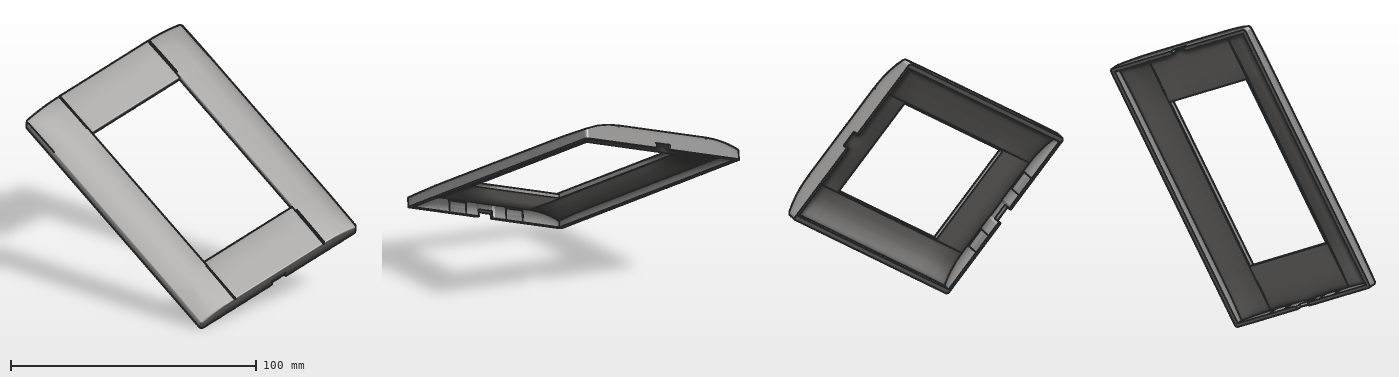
import cadquery as cq
import math

TURN_ABOUT_Y = 33.33
TURN_ABOUT_X = 20.0

LENGTH = 118.65
WIDTH = 79.87
PANEL_HEIGHT = 7.4
CORNER_RADIUS = 1.3
EDGE_RADIUS = 0.6
PANEL_EDGE_RADIUS = 0.5

RAIL_START = 22.6
RAIL_RISE = 0.55
ARCH_START = RAIL_START + RAIL_RISE
RAIL_DROP = 3.5
STRAIGHT_HALF = 40.3
CROWN_RADIUS = 290.0

SKIN = 1.85
SIDE_WALL = 2.0
END_WALL = 1.5

WINDOW_LENGTH = 75.5
WINDOW_EDGE_RADIUS = 0.4

NOTCH_WIDTH = 7.0
NOTCH_DEPTH = 2.0
NOTCH_CHAMFER = 1.0
RECESS_SLOPE = 1.2
RECESS_DEPTH = 0.3

RIDGE_OFFSET = 14.7
RIDGE_WIDTH = 8.6
RIDGE_BASE = 0.5
RIDGE_PEAK = 2.4
RIDGE_HEIGHT = 0.35
RIDGE_TOP_BEVEL = 0.8

DEPTH_BELOW = 5.0
BEYOND = 1.0
CREST = PANEL_HEIGHT + RAIL_RISE
CEILING = PANEL_HEIGHT - SKIN


def box(length, width, bottom, top):
    """Block centred on the Z axis between two heights."""
    return cq.Workplane("XY", origin=(0, 0, bottom)).rect(length, width).extrude(top - bottom)


def both_sides(shape, plane):
    """Shape together with its mirror image in a base plane."""
    return shape.union(shape.mirror(plane))


def arch_radius():
    """Radius of the arch that leaves the crest level and falls RAIL_DROP at the outer side."""
    run = WIDTH / 2 - ARCH_START
    return (run**2 + RAIL_DROP**2) / (2 * RAIL_DROP)


def arch_profile(start, end, crest, radius, corner):
    """Cross-section under the arch: level up to ARCH_START, its inner corner rounded if corner > 0."""
    def arch_height(y):
        return crest - radius + math.sqrt(radius**2 - (y - ARCH_START) ** 2)

    profile = cq.Workplane("YZ", origin=(STRAIGHT_HALF, 0, 0)).moveTo(start, -DEPTH_BELOW)
    profile = profile.lineTo(start, crest - corner)
    if corner > 0:
        sag = corner * (1 - math.sqrt(0.5))
        profile = profile.threePointArc((start + sag, crest - sag), (start + corner, crest))
    elif start < ARCH_START:
        profile = profile.lineTo(ARCH_START, crest)
    middle = (ARCH_START + end) / 2
    profile = profile.threePointArc((middle, arch_height(middle)), (end, arch_height(end)))
    return cq.Face.makeFromWires(profile.lineTo(end, -DEPTH_BELOW).close().val())


def arched_bar(start, end, crest, radius, corner=0.0):
    """Bar with an arched top, straight in the middle and bent down at both ends."""
    section = arch_profile(start, end, crest, radius, corner)
    straight = cq.Workplane(cq.Solid.extrudeLinear(section, cq.Vector(-2 * STRAIGHT_HALF, 0, 0)))
    bend_angle = math.degrees(math.asin((LENGTH / 2 + BEYOND - STRAIGHT_HALF) / (CROWN_RADIUS - CREST)))
    axis_start = cq.Vector(STRAIGHT_HALF, 0, CREST - CROWN_RADIUS)
    axis_end = axis_start + cq.Vector(0, 1, 0)
    bend = cq.Workplane(cq.Solid.revolve(section, bend_angle, axis_start, axis_end))
    return straight.union(both_sides(bend, "YZ"))


def round_rim(blank):
    """Round the upper rim of a half frame along its two ends, its outer side and its corners."""
    def on_rim(edge):
        middle = edge.Center()
        outside = abs(middle.x) > LENGTH / 2 - CORNER_RADIUS or middle.y > WIDTH / 2 - EDGE_RADIUS
        return edge.BoundingBox().zmin > EDGE_RADIUS and middle.y > EDGE_RADIUS and outside

    rim = [edge for edge in blank.edges().vals() if on_rim(edge)]
    return blank.newObject(rim).fillet(EDGE_RADIUS)


def outer_body():
    """Solid block with the finished outer skin: two flat end panels between two arched rails."""
    envelope = box(LENGTH, WIDTH, 0, CREST).edges("|Z").fillet(CORNER_RADIUS)
    beyond_side = WIDTH / 2 + BEYOND
    blank = arched_bar(0, beyond_side, CREST, arch_radius()).intersect(envelope)
    rail = arched_bar(RAIL_START, beyond_side, CREST, arch_radius(), RAIL_RISE)
    rail = rail.intersect(round_rim(blank))
    panels = box(LENGTH, 2 * RAIL_START, 0, PANEL_HEIGHT)
    panels = panels.edges("|Y and >Z").fillet(PANEL_EDGE_RADIUS)
    return panels.union(both_sides(rail, "XZ")).clean()


def hollow():
    """Space behind the skin: a flat pocket flanked by an arched hollow under each rail."""
    side = WIDTH / 2 - SIDE_WALL
    pocket = box(LENGTH - 2 * END_WALL, 2 * ARCH_START, 0, CEILING)
    arch = arched_bar(ARCH_START, side, CREST - SKIN, arch_radius() - SKIN)
    arch = arch.intersect(box(LENGTH - 2 * END_WALL, WIDTH, 0, CREST))
    return pocket.union(both_sides(arch, "XZ"))


def window():
    """Opening between the rails and the end panels."""
    return box(WINDOW_LENGTH, 2 * RAIL_START, 0, CREST)


def window_edge():
    """Sliver removed from the panel edge at the +X end of the window to round it."""
    edge = WINDOW_LENGTH / 2
    sag = WINDOW_EDGE_RADIUS * (1 - math.sqrt(0.5))
    return (
        cq.Workplane("XZ")
        .moveTo(edge, PANEL_HEIGHT)
        .lineTo(edge, PANEL_HEIGHT - WINDOW_EDGE_RADIUS)
        .threePointArc((edge + sag, PANEL_HEIGHT - sag), (edge + WINDOW_EDGE_RADIUS, PANEL_HEIGHT))
        .close()
        .extrude(RAIL_START, both=True)
    )


def end_notch():
    """Opening through the rim of the +X end wall, with a shallow slope-sided recess above it."""
    inner_face = LENGTH / 2 - END_WALL
    half = NOTCH_WIDTH / 2
    opening = box(2 * END_WALL + BEYOND, NOTCH_WIDTH, 0, NOTCH_DEPTH).translate((LENGTH / 2, 0, 0))
    recess = (
        cq.Workplane("XY")
        .moveTo(inner_face, -half - RECESS_SLOPE)
        .lineTo(inner_face + RECESS_DEPTH, -half)
        .lineTo(inner_face + RECESS_DEPTH, half)
        .lineTo(inner_face, half + RECESS_SLOPE)
        .close()
        .extrude(CEILING)
    )
    chamfer = (
        cq.Workplane("XZ")
        .moveTo(inner_face, NOTCH_DEPTH)
        .lineTo(inner_face + RECESS_DEPTH + NOTCH_CHAMFER, NOTCH_DEPTH)
        .lineTo(inner_face + RECESS_DEPTH, NOTCH_DEPTH + NOTCH_CHAMFER)
        .lineTo(inner_face, NOTCH_DEPTH + NOTCH_CHAMFER)
        .close()
        .extrude(half, both=True)
    )
    return opening.union(recess).union(chamfer)


def snap_ridge(y):
    """Low ridge across the inside of the +X end wall."""
    inner_face = LENGTH / 2 - END_WALL
    return (
        cq.Workplane("XZ", origin=(0, y, 0))
        .moveTo(inner_face, RIDGE_BASE)
        .lineTo(inner_face - RIDGE_HEIGHT, RIDGE_PEAK)
        .lineTo(inner_face - RIDGE_HEIGHT, CEILING - RIDGE_TOP_BEVEL)
        .lineTo(inner_face, CEILING)
        .close()
        .extrude(RIDGE_WIDTH / 2, both=True)
    )


frame = outer_body().cut(hollow()).cut(window())
frame = frame.cut(both_sides(window_edge(), "YZ"))
for side in (-1, 1):
    frame = frame.union(both_sides(snap_ridge(side * RIDGE_OFFSET), "YZ"))
frame = frame.cut(both_sides(end_notch(), "YZ"))
frame = frame.rotate((0, 0, 0), (0, 1, 0), TURN_ABOUT_Y)
result = frame.rotate((0, 0, 0), (1, 0, 0), TURN_ABOUT_X)